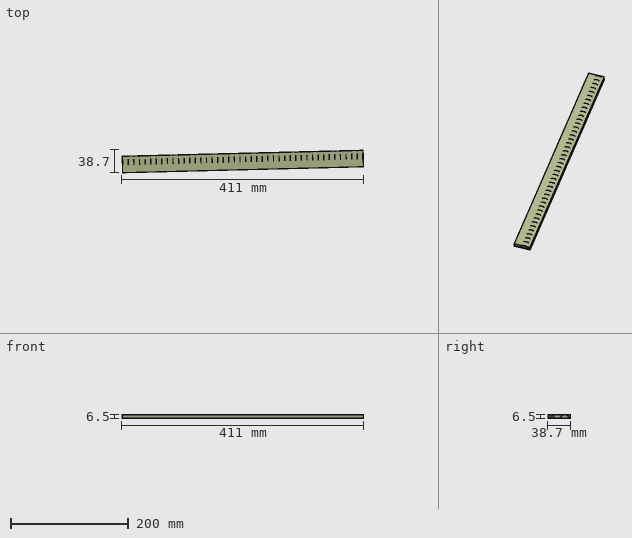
import cadquery as cq
import math

overall_x = 411.0
bar_thickness = 6.5
tilt = 1.42
cover_width = 28.0

lip_width = 0.5
lip_height = 1.2
rib_count = 44
rib_thickness = 0.6
end_wall = 0.6
rib_top_width = 5.8
rib_slope_run = 5.5
rib_front_run = 5.8
rib_top_center = 3.5
skin = 0.2

bar_width = cover_width + lip_width
tilt_radians = math.radians(tilt)
bar_length = (overall_x - bar_width * math.sin(tilt_radians)) / math.cos(tilt_radians)
left = -bar_length / 2
front = -bar_width / 2
back = bar_width / 2
cover_back = back - lip_width
bottom = -bar_thickness / 2
lip_top = bottom + lip_height
rib_top = bar_thickness / 2 - skin
first_rib = left + end_wall
rib_pitch = (bar_length - 2 * end_wall - rib_thickness) / (rib_count - 1)
rib_top_front = rib_top_center - rib_top_width / 2
rib_top_back = rib_top_center + rib_top_width / 2


def make_block(y_front, y_back, height):
    """Block over the whole bar length, standing on the bottom plane."""
    block = cq.Workplane("XY").box(bar_length, y_back - y_front, height, centered=False)
    return block.translate((left, y_front, bottom))


def make_rib(x_left):
    """Thin upright rib with a trapezoid hump and a low tail that ends in the lip."""
    outline = [
        (rib_top_front - rib_front_run, bottom),
        (rib_top_front, rib_top),
        (rib_top_back, rib_top),
        (rib_top_back + rib_slope_run, lip_top),
        (back, lip_top),
        (back, bottom),
    ]
    plane = cq.Workplane("YZ", origin=(x_left, 0, 0))
    return plane.polyline(outline).close().extrude(rib_thickness)


def make_comb():
    """Lip strip and its row of ribs as one solid."""
    comb = make_block(cover_back, back, lip_height)
    for index in range(rib_count):
        comb = comb.union(make_rib(first_rib + index * rib_pitch))
    return comb.clean()


def make_cover(comb):
    """Block with slots that match the comb's ribs."""
    return make_block(front, cover_back, bar_thickness).cut(comb)


def turn(body):
    """Turn a body about the vertical axis through the middle of the bar."""
    return body.rotate((0, 0, 0), (0, 0, 1), tilt)


comb = make_comb()
cover = make_cover(comb)

result = cq.Compound.makeCompound([turn(cover).solids().val(), turn(comb).solids().val()])